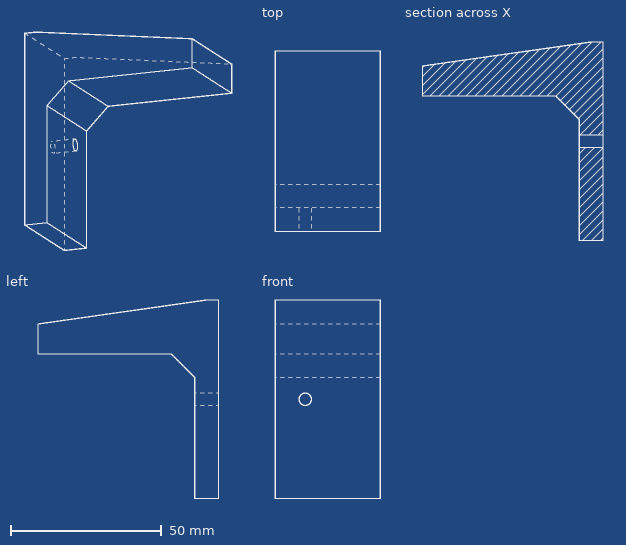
import cadquery as cq

width = 35.0
depth = 60.0
height = 66.0

wall_thickness = 8.0
top_flat = 4.0
arm_tip_drop = 8.0
arm_tip_thickness = 10.0
gusset = 7.7

hole_diameter = 4.0
hole_x = 10.0
hole_z = height / 2

arm_underside = height - arm_tip_drop - arm_tip_thickness


def bracket_body():
    """L-shaped section in the YZ plane, extruded along X."""
    return (
        cq.Workplane("YZ")
        .moveTo(0, 0)
        .lineTo(wall_thickness, 0)
        .lineTo(wall_thickness, arm_underside - gusset)
        .lineTo(wall_thickness + gusset, arm_underside)
        .lineTo(depth, arm_underside)
        .lineTo(depth, height - arm_tip_drop)
        .lineTo(top_flat, height)
        .lineTo(0, height)
        .close()
        .extrude(width)
    )


def wall_hole():
    """Cylinder along Y that passes through the upright wall."""
    return (
        cq.Workplane("XZ")
        .center(hole_x, hole_z)
        .circle(hole_diameter / 2)
        .extrude(-wall_thickness)
    )


result = bracket_body().cut(wall_hole())